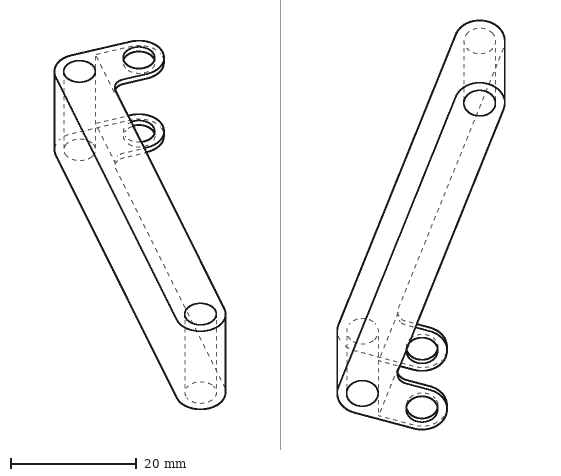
import cadquery as cq

length = 68.0
height = 17.0
bar_width = 8.0
lug_spacing = 10.0
hole_diameter = 5.0
lug_thickness = 1.0
corner_fillet = 2.0

end_radius = bar_width / 2
hole_spacing = length - bar_width
lug_length = lug_spacing + bar_width
lug_gap = height - 2 * lug_thickness

corner_hole = (0, 0)
bar_hole = (hole_spacing, 0)
lug_hole = (0, lug_spacing)


def make_l_body():
    """Full-height L: a round-ended bar along X joined to a round-ended leg along Y."""
    bar = (
        cq.Workplane("XY")
        .center(hole_spacing / 2, 0)
        .slot2D(length, bar_width)
        .extrude(height)
    )
    leg = (
        cq.Workplane("XY")
        .center(0, lug_spacing / 2)
        .slot2D(lug_length, bar_width, 90)
        .extrude(height)
    )
    inside_corner = cq.NearestToPointSelector((end_radius, end_radius, height / 2))
    return bar.union(leg).edges("|Z").edges(inside_corner).fillet(corner_fillet)


def make_lug_gap():
    """Block that splits the leg into two thin lugs, flush with the bar's back face."""
    return cq.Workplane("XY", origin=(-end_radius, end_radius, lug_thickness)).box(
        bar_width + corner_fillet, lug_spacing, lug_gap, centered=False
    )


def make_pin_holes():
    """Pins through the full height at the corner, bar end and lugs."""
    return (
        cq.Workplane("XY")
        .pushPoints([corner_hole, bar_hole, lug_hole])
        .circle(hole_diameter / 2)
        .extrude(height)
    )


result = make_l_body().cut(make_lug_gap()).cut(make_pin_holes())